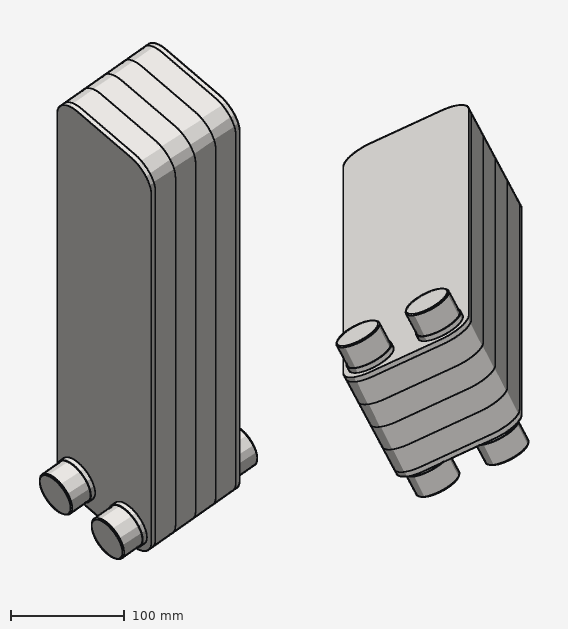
import cadquery as cq

plate_width = 123.0
plate_height = 538.0
corner_radius = 27.0
end_plate_thickness = 5.0
core_plate_count = 4
core_depth = 95.0
core_plate_thickness = core_depth / core_plate_count
pack_depth = core_depth + 2 * end_plate_thickness

overall_depth = 160.0
port_length = (overall_depth - pack_depth) / 2
port_diameter = 42.5
collar_diameter = 44.0
collar_length = 5.0
tip_chamfer = 1.0
port_spacing = 68.0
port_height = 29.0


def make_plate(y_start, thickness):
    """Upright plate with rounded corners, reaching from y_start toward +Y."""
    return (
        cq.Workplane("XY")
        .box(plate_width, thickness, plate_height, centered=(True, False, False))
        .edges("|Y")
        .fillet(corner_radius)
        .translate((0, y_start, 0))
    )


def make_port(x, side):
    """Solid collared port standing on the pack face on the given side (-1 or +1 in Y)."""
    base = cq.Plane(
        origin=(x, side * pack_depth / 2, port_height),
        xDir=(1, 0, 0),
        normal=(0, side, 0),
    )
    stub = (
        cq.Workplane(base)
        .circle(port_diameter / 2)
        .extrude(port_length)
        .faces(">Y" if side > 0 else "<Y")
        .chamfer(tip_chamfer)
    )
    collar = cq.Workplane(base).circle(collar_diameter / 2).extrude(collar_length)
    return stub.union(collar)


end_plates = [
    make_plate(y_start, end_plate_thickness)
    for y_start in (-pack_depth / 2, core_depth / 2)
]

core_plates = [
    make_plate(-core_depth / 2 + index * core_plate_thickness, core_plate_thickness)
    for index in range(core_plate_count)
]

ports = [
    make_port(x, side)
    for side in (-1, 1)
    for x in (-port_spacing / 2, port_spacing / 2)
]

result = cq.Compound.makeCompound([body.val() for body in end_plates + core_plates + ports])